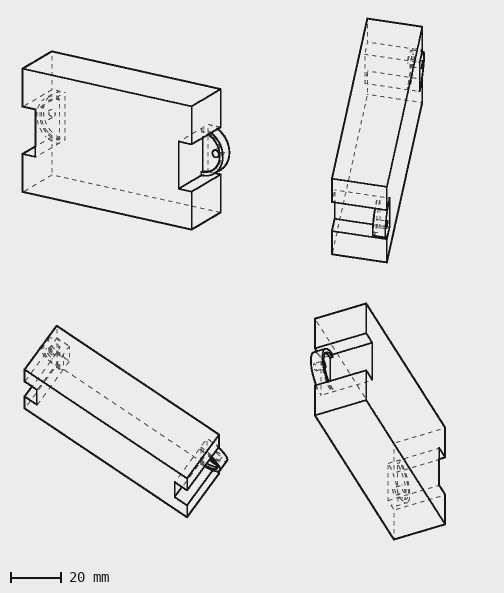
import cadquery as cq

overall_length = 86.0

block_length = 78.0
block_depth = 22.0
block_height = 52.0

ear_diameter = 19.95
ear_radius = ear_diameter / 2
ear_thickness = 5.0
rim_width = 1.5
recess_depth = 1.0
screw_hole_diameter = 3.0

back_y = block_depth / 2
ear_front_y = back_y - ear_thickness
notch_floor_x = overall_length / 2 - ear_radius
screw_hole_x = block_length / 2


def make_block():
    """Rectangular block with a full-depth notch in the middle of each end."""
    notch_depth = block_length / 2 - notch_floor_x
    notches = (
        cq.Workplane("XY")
        .pushPoints([(side * (notch_floor_x + notch_depth / 2), 0) for side in (-1, 1)])
        .box(notch_depth, block_depth, ear_diameter)
    )
    return cq.Workplane("XY").box(block_length, block_depth, block_height).cut(notches)


def half_disc(side, radius, start_y, thickness):
    """Half disc bulging outwards from a notch floor; side is -1 or 1 along X."""
    flat_x = side * notch_floor_x
    return (
        cq.Workplane("XZ", origin=(0, start_y, 0))
        .moveTo(flat_x, -radius)
        .threePointArc((flat_x + side * radius, 0), (flat_x, radius))
        .close()
        .extrude(-thickness)
    )


def make_ear(side):
    """Half-disc ear with a rimmed shallow recess and a through screw hole."""
    recess = half_disc(side, ear_radius - rim_width, ear_front_y, recess_depth)
    screw_hole = (
        cq.Workplane("XZ", origin=(side * screw_hole_x, ear_front_y, 0))
        .circle(screw_hole_diameter / 2)
        .extrude(-ear_thickness)
    )
    return half_disc(side, ear_radius, ear_front_y, ear_thickness).cut(recess).cut(screw_hole)


block = make_block()
ears = [make_ear(side) for side in (-1, 1)]

result = cq.Compound.makeCompound([block.val(), *[ear.val() for ear in ears]])